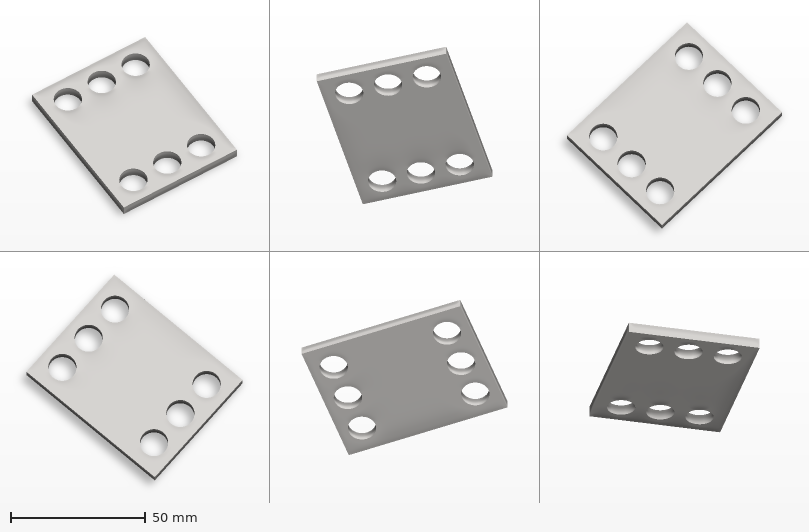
import cadquery as cq

length = 63.0
width = 50.0
thickness = 4.0

hole_diameter = 10.5
column_spacing = 45.0
row_spacing = 15.0
columns = 2
rows = 3

plate = cq.Workplane("XY").box(length, width, thickness)

result = (
    plate.faces(">Z")
    .workplane()
    .rarray(column_spacing, row_spacing, columns, rows)
    .hole(hole_diameter)
)